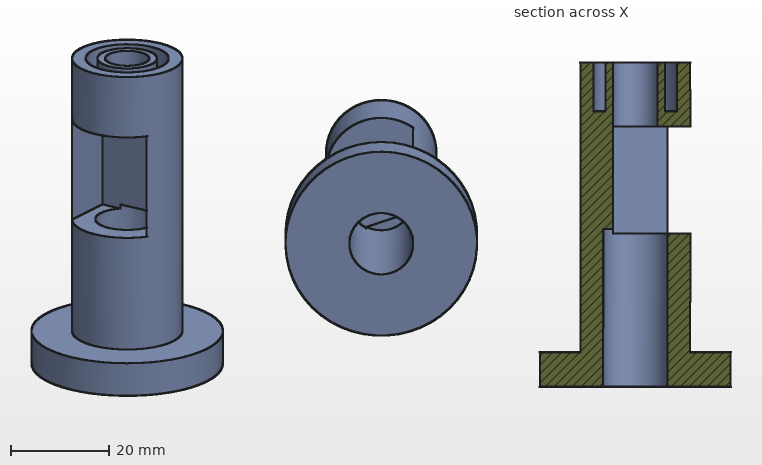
import cadquery as cq

total_height = 66.0
flange_diameter = 39.0
flange_height = 7.05
column_diameter = 22.5

upper_bore_diameter = 9.0
lower_bore_diameter = 13.0
lower_bore_rise = 0.85

groove_inner_diameter = 12.15
groove_outer_diameter = 16.9
groove_depth = 9.9

window_width = 18.3
window_floor = 31.2
window_top = 52.9
window_back = upper_bore_diameter / 2


def cylinder(diameter, bottom, top):
    """Solid cylinder on the Z axis between two heights."""
    return cq.Workplane("XY").workplane(offset=bottom).circle(diameter / 2).extrude(top - bottom)


flange = cylinder(flange_diameter, 0, flange_height)
column = cylinder(column_diameter, 0, total_height)
body = flange.union(column)

upper_bore = cylinder(upper_bore_diameter, 0, total_height)
lower_bore = cylinder(lower_bore_diameter, 0, window_floor + lower_bore_rise)

groove_bottom = total_height - groove_depth
groove_core = cylinder(groove_inner_diameter, groove_bottom, total_height)
groove = cylinder(groove_outer_diameter, groove_bottom, total_height).cut(groove_core)

window_depth = window_back + column_diameter / 2
window = (
    cq.Workplane("XY")
    .box(window_width, window_depth, window_top - window_floor, centered=(True, False, False))
    .translate((0, -column_diameter / 2, window_floor))
)

result = body.cut(upper_bore).cut(lower_bore).cut(groove).cut(window)